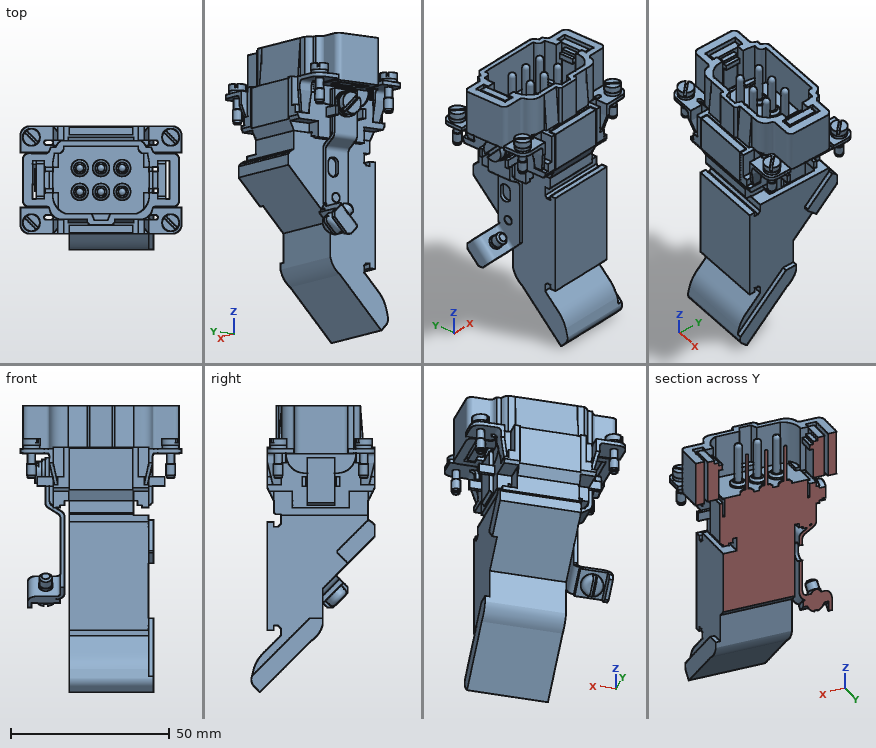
import cadquery as cq
import math

HEIGHT = 90.53
HALF_LENGTH = 25.5
HALF_WIDTH = 17.0
HANDLE_TIP_Y = -22.04

SHELL_DEPTH = 15.2
FLOOR_DEPTH = 14.8
WING_X = 24.7
WING_Y = 8.4
WING_RADIUS = 1.85
WING_ROOT_X = 17.3
CORNER_START_X = 12.5
CORNER_LEDGE_Y = 10.4
SHELL_Y = 12.45
CAVITY_Y = 10.6
CAVITY_X = 15.2
RIB_HALF_X = 10.27
RIB_BASE_Y = 13.6
KEY_OUTER_Y = -14.2
KEY_HALF_X = 4.3
KEY_CHAMFER = 0.8
KEY_GROOVE_MOUTH_X, KEY_GROOVE_FLOOR_X = 3.0, 2.1
KEY_GROOVE_Y = -12.75
KEY_GROOVE_DEPTH = 13.8
PAD_X = 13.5
PAD_HEIGHT = 1.0

SLOT_X_IN, SLOT_X_OUT = 18.0, 21.6
SLOT_HALF_Y = 6.0
MOUTH_HALF_Y = 4.1
LEVER_X_OUT = 20.5
LEVER_HALF_Y = 5.1
LEVER_TOP, LEVER_LEDGE_TOP, LEVER_BOTTOM = -0.5, -1.8, -FLOOR_DEPTH
DETENT_HALF_Y = 2.7
DETENT_TOP = -1.6
DETENT_STEP_X = 16.4
DETENT_STEP_TOP, DETENT_BOTTOM = -2.6, -4.5

PIN_DIAMETER = 2.5
PIN_DOME_RADIUS = 1.2
PIN_TOP = -0.1
PIN_PITCH_X = 6.7
PIN_PITCH_Y = 7.5
COLLAR_DIAMETER = 5.3
COLLAR_TOP_DIAMETER = 3.7
COLLAR_SHOULDER, COLLAR_TOP = 0.6 - FLOOR_DEPTH, 1.4 - FLOOR_DEPTH

HOUSING_TOP = -13.1
HOUSING_X = 15.1
HOUSING_POST_Y = 12.5
HOUSING_FRONT_X = 11.8
HOUSING_STEP_X = 13.7
HOUSING_STEP_TOP = -22.4
HOUSING_BASE_TOP = -25.0
TAPER_TOP = -25.9
HOUSING_BOTTOM = -27.1
CORE_X = 10.2
PANEL_X = 10.05
CORE_Y = 14.9
TAPER_BOTTOM = -30.1
PANEL_Y = 14.35
PANEL_RECESS = 0.3
END_RECESS_HALF_Y = 11.0
END_RECESS_BOTTOM = -21.3
END_RECESS_RADIUS = 5.8
END_RECESS_DEPTH = 0.5
FOOT_Y = 9.0
FOOT_BOTTOM = -32.2
FOOT_OUTER_X, FOOT_MIDDLE_X = 12.9, 11.5

FLANGE_TOP = -13.66
SHEET = 1.3
FLANGE_INNER_Y = 8.65
FLANGE_RADIUS = 3.0
WALL_X = 16.3
WALL_HALF_Y = 4.3
WALL_BOTTOM = -31.5
WALL_CHAMFER = 0.9
BEND_RADIUS = 1.2
LEG_TOP = -18.1
LEG_TOP_Y, LEG_BOTTOM_Y = 16.9, 15.2
LEG_END_X_IN, LEG_END_X_OUT = 13.6, 14.7
RELIEF_WIDTH = 1.4
RELIEF_END_X = 17.95
RELIEF_Y = 11.8
PRONG_X = 20.15
PRONG_Y_IN, PRONG_Y_OUT = 4.75, 5.9
PRONG_TOP, PRONG_BOTTOM = -22.4, -25.4

SCREW_X, SCREW_Y = 22.0, 13.5
HEAD_DIAMETER = 5.5
WASHER_DIAMETER = 5.3
HEAD_TOP, HEAD_BOTTOM = -10.44, -12.5
SHANK_DIAMETER = 2.5
THREAD_DIAMETER = 3.0
THREAD_TOP, THREAD_BOTTOM, SCREW_TIP = -18.3, -21.96, -23.0
TIP_CHAMFER = 0.35
THREAD_CHAMFER = 0.2
SLOT_WIDTH, SLOT_DEPTH = 0.8, 1.2

STRAP_HALF_Y = 4.45
STRAP_TOP = -16.4
STRAP_UPPER_X, STRAP_LOWER_X = -17.6, -12.8
JOG_TOP, JOG_BOTTOM = -31.7, -34.7
JOG_RADIUS = 1.9
STRAP_SCREW_Z = -21.06
STRAP_SCREW_DIAMETER = 7.0
STRAP_WASHER_DIAMETER = 8.17
STRAP_WASHER_THICKNESS = 1.1
STRAP_SCREW_HEAD = 2.2
WINDOW_Y, WINDOW_Z = 1.42, -40.7
WINDOW_WIDTH, WINDOW_LENGTH = 4.0, 6.3
MARK_Y, MARK_Z = 0.33, -50.4
MARK_DIAMETER, MARK_DEPTH = 3.0, 0.1
CLAMP_X, CLAMP_Y, CLAMP_Z = -17.45, 1.73, -57.04
CLAMP_WIDTH = 9.1
CLAMP_END_X = -23.2
CLAMP_BEND = 2.6
LIP_DROP = 6.2
LIP_CHAMFER = 1.2
BACKING_X_OUT, BACKING_X_IN = -21.9, -12.9
BACKING_THICKNESS = 1.7
CLAMP_SCREW_DIAMETER = 4.0
CLAMP_SCREW_LENGTH = 4.5
CLAMP_COLLAR_DIAMETER, CLAMP_COLLAR_HEIGHT = 4.35, 1.0
CLAMP_SCREW_CHAMFER = 0.7
CLAMP_HEAD_DIAMETER = 7.0
CLAMP_HEAD_HEIGHT = 3.3
CLAMP_SLOT_WIDTH, CLAMP_SLOT_DEPTH = 1.2, 1.8
CLAMP_HEAD_ROUND = 1.5

HANDLE_X_MIN, HANDLE_X_MAX = -10.1, 15.07
HANDLE_RIB_X = 16.6
NECK_X_MAX = 10.3
HANDLE_TOP = -34.6
HOOK_Y, HOOK_FLOOR_Y = -14.9, -12.7
HOOK_CHAMFER = 0.9
NECK_CHAMFER = 0.5
UPPER_HOOK_TOP, UPPER_HOOK_LIP, UPPER_HOOK_BOTTOM = -34.3, -36.7, -38.2
LOWER_HOOK_TOP, LOWER_HOOK_LIP, LOWER_HOOK_BOTTOM = -69.5, -71.0, -72.6
BACK_Y = 0.62
BACK_SLOPE_TOP = -41.35
GRIP_TOP = -85.6
GRIP_END_Y = -19.35
KNEE_DROP = 5.2
UNDERSIDE_START_Z = -69.1
UNDERSIDE_END_Y = -3.2
BACK_SHOULDER_TOP, BACK_SHOULDER_BOTTOM = -36.0, -37.8
SIDE_RIB_TOP = -35.8
GRIP_RIB_TOP = -67.1


def box(x0, x1, y0, y1, z0, z1):
    """Axis-aligned block between opposite corners."""
    return cq.Workplane("XY").box(x1 - x0, y1 - y0, z1 - z0, centered=False).translate((x0, y0, z0))


def cylinder(diameter, z0, z1):
    return cq.Workplane("XY").workplane(offset=z0).circle(diameter / 2).extrude(z1 - z0)


def extrude_x(points, x0, x1):
    """Prism of a (Y, Z) outline between two X planes."""
    return cq.Workplane("YZ").workplane(offset=x0).polyline(points).close().extrude(x1 - x0)


def extrude_y(points, y0, y1):
    """Prism of an (X, Z) outline between two Y planes."""
    return cq.Workplane("XZ").workplane(offset=-y1).polyline(points).close().extrude(y1 - y0)


def both_ends(solid):
    return solid.union(solid.mirror("YZ"))


def four_corners(solid):
    pair = both_ends(solid)
    return pair.union(pair.mirror("XZ"))


def shell_outline():
    """Right half of the shell's outer outline, closed along X = 0."""
    return (
        cq.Workplane("XY")
        .moveTo(0, -SHELL_Y)
        .lineTo(CORNER_START_X, -SHELL_Y)
        .threePointArc((15.15, -11.35), (16.2, -9.3))
        .threePointArc((16.6, -8.65), (WING_ROOT_X, -WING_Y))
        .lineTo(WING_X, -WING_Y)
        .lineTo(WING_X, WING_Y)
        .lineTo(WING_ROOT_X, WING_Y)
        .threePointArc((16.7, 8.7), (16.3, 9.25))
        .lineTo(15.8, CORNER_LEDGE_Y)
        .lineTo(14.3, CORNER_LEDGE_Y)
        .lineTo(13.9, 11.05)
        .threePointArc((13.3, 11.9), (CORNER_START_X, SHELL_Y))
        .lineTo(0, SHELL_Y)
        .close()
    )


def cavity_outline():
    """Right half of the contact cavity: round lower corner, stepped upper corner."""
    return (
        cq.Workplane("XY")
        .moveTo(0, -CAVITY_Y)
        .lineTo(11.3, -CAVITY_Y)
        .threePointArc((13.7, -8.95), (CAVITY_X, -MOUTH_HALF_Y))
        .lineTo(CAVITY_X, 5.7)
        .lineTo(14.7, WING_Y)
        .lineTo(13.2, WING_Y)
        .threePointArc((12.2, 9.0), (11.8, CAVITY_Y))
        .lineTo(0, CAVITY_Y)
        .close()
    )


def cavity():
    return both_ends(cavity_outline().extrude(-FLOOR_DEPTH))


def latch_lever():
    body = box(SLOT_X_IN, LEVER_X_OUT, -LEVER_HALF_Y, LEVER_HALF_Y, LEVER_BOTTOM, LEVER_TOP)
    ledge = box(SLOT_X_IN, LEVER_X_OUT, -SLOT_HALF_Y, SLOT_HALF_Y, LEVER_BOTTOM, LEVER_LEDGE_TOP)
    detent = box(DETENT_STEP_X, SLOT_X_IN, -DETENT_HALF_Y, DETENT_HALF_Y, LEVER_BOTTOM, DETENT_TOP)
    toe = box(CAVITY_X, DETENT_STEP_X, -DETENT_HALF_Y, DETENT_HALF_Y, DETENT_BOTTOM, DETENT_STEP_TOP)
    return body.union(ledge).union(detent).union(toe)


def contact_shell():
    half = shell_outline().extrude(-SHELL_DEPTH)
    half = half.edges("|Z and >X").fillet(WING_RADIUS)
    rib = extrude_x(
        [(0, 0), (SHELL_Y, 0), (RIB_BASE_Y, -SHELL_DEPTH), (0, -SHELL_DEPTH)], 0, RIB_HALF_X
    )
    half = half.union(rib).union(rib.mirror("XZ"))
    shell = both_ends(half)
    key_shoulder_y = KEY_OUTER_Y + KEY_CHAMFER
    key_tip_x = KEY_HALF_X - KEY_CHAMFER
    key = (
        cq.Workplane("XY")
        .polyline([(-KEY_HALF_X, -CAVITY_Y), (-KEY_HALF_X, key_shoulder_y), (-key_tip_x, KEY_OUTER_Y),
                   (key_tip_x, KEY_OUTER_Y), (KEY_HALF_X, key_shoulder_y), (KEY_HALF_X, -CAVITY_Y)])
        .close()
        .extrude(-SHELL_DEPTH)
    )
    key_groove = (
        cq.Workplane("XY")
        .polyline([(-KEY_GROOVE_MOUTH_X, -CAVITY_Y), (-KEY_GROOVE_FLOOR_X, KEY_GROOVE_Y),
                   (KEY_GROOVE_FLOOR_X, KEY_GROOVE_Y), (KEY_GROOVE_MOUTH_X, -CAVITY_Y)])
        .close()
        .extrude(-KEY_GROOVE_DEPTH)
    )
    slot = box(SLOT_X_IN, SLOT_X_OUT, -SLOT_HALF_Y, SLOT_HALF_Y, -SHELL_DEPTH, 0)
    mouth = box(CAVITY_X, SLOT_X_IN, -MOUTH_HALF_Y, MOUTH_HALF_Y, -SHELL_DEPTH, 0)
    shell = shell.union(key).cut(cavity()).cut(key_groove).cut(both_ends(slot.union(mouth)))
    return shell.union(both_ends(latch_lever()))


def corner_pads():
    """Raised steps at the four corners of the cavity floor."""
    pad = box(PAD_X, CAVITY_X, MOUTH_HALF_Y, CAVITY_Y, -FLOOR_DEPTH, PAD_HEIGHT - FLOOR_DEPTH)
    return four_corners(pad).intersect(cavity())


def contact():
    pin = cylinder(PIN_DIAMETER, -FLOOR_DEPTH, PIN_TOP).faces(">Z").edges().fillet(PIN_DOME_RADIUS)
    collar = cylinder(COLLAR_DIAMETER, -FLOOR_DEPTH, COLLAR_SHOULDER)
    cone = (
        cq.Workplane("XY")
        .workplane(offset=COLLAR_SHOULDER)
        .circle(COLLAR_DIAMETER / 2)
        .workplane(offset=COLLAR_TOP - COLLAR_SHOULDER)
        .circle(COLLAR_TOP_DIAMETER / 2)
        .loft()
    )
    return pin.union(collar).union(cone)


def contacts():
    group = cq.Workplane("XY")
    for column in (-1, 0, 1):
        for row in (-0.5, 0.5):
            group = group.union(contact().translate((column * PIN_PITCH_X, row * PIN_PITCH_Y, 0)))
    return group


def tapered_profile(bottom):
    """Housing cross-section whose sides draw in from the full width to the core width."""
    share = (TAPER_TOP - bottom) / (TAPER_TOP - TAPER_BOTTOM)
    bottom_y = HALF_WIDTH - share * (HALF_WIDTH - CORE_Y)
    return [(-bottom_y, bottom), (bottom_y, bottom), (HALF_WIDTH, TAPER_TOP),
            (HALF_WIDTH, HOUSING_TOP), (-HALF_WIDTH, HOUSING_TOP), (-HALF_WIDTH, TAPER_TOP)]


def housing():
    centre = extrude_x(tapered_profile(HOUSING_BOTTOM), -HOUSING_X, HOUSING_X)
    post_gap = box(HOUSING_FRONT_X, HOUSING_X, HOUSING_POST_Y, HALF_WIDTH, HOUSING_STEP_TOP, HOUSING_TOP)
    step_gap = box(HOUSING_STEP_X, HOUSING_X, HOUSING_POST_Y, HALF_WIDTH, HOUSING_BASE_TOP, HOUSING_STEP_TOP)
    centre = centre.cut(four_corners(post_gap.union(step_gap)))
    core = extrude_x(tapered_profile(TAPER_BOTTOM), -CORE_X, CORE_X)
    panel_top = box(-PANEL_X, PANEL_X, PANEL_Y, HALF_WIDTH, HOUSING_TOP - PANEL_RECESS, HOUSING_TOP)
    panel_face = box(-PANEL_X, PANEL_X, HALF_WIDTH - PANEL_RECESS, HALF_WIDTH, TAPER_BOTTOM, HOUSING_TOP)
    recess = panel_top.union(panel_face)
    body = centre.union(core).cut(recess.union(recess.mirror("XZ")))
    return body.cut(both_ends(end_recess())).cut(cavity())


def housing_feet():
    """Stepped feet below both ends of the housing."""
    outer = box(FOOT_OUTER_X, HOUSING_X, -FOOT_Y, FOOT_Y, FOOT_BOTTOM, HOUSING_BOTTOM)
    middle = box(FOOT_MIDDLE_X, FOOT_OUTER_X, -FOOT_Y, FOOT_Y, WALL_BOTTOM, HOUSING_BOTTOM)
    inner = box(CORE_X, FOOT_MIDDLE_X, -FOOT_Y, FOOT_Y, TAPER_BOTTOM, HOUSING_BOTTOM)
    return both_ends(outer.union(middle).union(inner))


def bracket_wall():
    """Sheet tab down the middle of the housing's end face."""
    wall = box(HOUSING_X, WALL_X, -WALL_HALF_Y, WALL_HALF_Y, WALL_BOTTOM, STRAP_TOP)
    return wall.edges("|Y and >X and <Z").chamfer(WALL_CHAMFER)


def end_recess():
    """Shallow round-cornered recess in the upper part of the housing's end face."""
    recess = box(
        HOUSING_X - END_RECESS_DEPTH, HOUSING_X, -END_RECESS_HALF_Y, END_RECESS_HALF_Y,
        END_RECESS_BOTTOM, HOUSING_TOP,
    )
    return recess.edges("|X and <Z").fillet(END_RECESS_RADIUS)


def flange_corner():
    """One flange tab with its bend and the tapered leg that leans into the housing."""
    underside = FLANGE_TOP - SHEET
    profile = [(HALF_LENGTH, FLANGE_TOP), (HOUSING_X, FLANGE_TOP), (HOUSING_X, LEG_TOP),
               (WALL_X, LEG_TOP), (WALL_X, underside), (HALF_LENGTH, underside)]
    tab = extrude_y(profile, FLANGE_INNER_Y, HALF_WIDTH)
    tab = tab.edges(cq.NearestToPointSelector((WALL_X, HOUSING_POST_Y, underside))).fillet(BEND_RADIUS)
    tab = tab.edges("|Z and >X and >Y").fillet(FLANGE_RADIUS)
    tab = tab.cut(
        box(HOUSING_X, WALL_X + BEND_RADIUS, FLANGE_INNER_Y, END_RECESS_HALF_Y, LEG_TOP, underside)
    )
    relief = (
        cq.Workplane("XY")
        .workplane(offset=FLANGE_TOP)
        .center(HOUSING_X + (RELIEF_END_X - HOUSING_X) / 2, RELIEF_Y)
        .slot2D(RELIEF_END_X - HOUSING_X, RELIEF_WIDTH)
        .extrude(LEG_TOP - FLANGE_TOP)
    )
    leg = extrude_y(
        [(HOUSING_X, LEG_TOP), (WALL_X, LEG_TOP), (LEG_END_X_OUT, HOUSING_BASE_TOP),
         (LEG_END_X_IN, HOUSING_BASE_TOP)],
        HOUSING_POST_Y, HALF_WIDTH,
    )
    taper = extrude_x(
        [(HOUSING_POST_Y, LEG_TOP), (LEG_TOP_Y, LEG_TOP),
         (LEG_BOTTOM_Y, HOUSING_BASE_TOP), (HOUSING_POST_Y, HOUSING_BASE_TOP)],
        HOUSING_FRONT_X, WALL_X,
    )
    return tab.cut(relief).union(leg.intersect(taper))


def prong():
    return box(HOUSING_X, PRONG_X, PRONG_Y_IN, PRONG_Y_OUT, PRONG_BOTTOM, PRONG_TOP)


def mounting_screw():
    head = cylinder(HEAD_DIAMETER, HEAD_BOTTOM, HEAD_TOP)
    half_slot = SLOT_WIDTH / 2
    slot = box(-HEAD_DIAMETER, HEAD_DIAMETER, -half_slot, half_slot, HEAD_TOP - SLOT_DEPTH, HEAD_TOP)
    head = head.cut(slot.rotate((0, 0, 0), (0, 0, 1), -45))
    washer = cylinder(WASHER_DIAMETER, FLANGE_TOP, HEAD_BOTTOM)
    shank = cylinder(SHANK_DIAMETER, SCREW_TIP, FLANGE_TOP).faces("<Z").chamfer(TIP_CHAMFER)
    thread = cylinder(THREAD_DIAMETER, THREAD_BOTTOM, THREAD_TOP).faces(">Z").chamfer(THREAD_CHAMFER)
    return head.union(washer).union(shank).union(thread)


def mounting_screws():
    group = cq.Workplane("XY")
    for x in (-SCREW_X, SCREW_X):
        for y in (-SCREW_Y, SCREW_Y):
            group = group.union(mounting_screw().translate((x, y, 0)))
    return group


def earth_strap():
    """Sheet strap with a jog towards the handle and a slanted lower end."""
    jog_slope = math.atan2(JOG_TOP - JOG_BOTTOM, STRAP_LOWER_X - STRAP_UPPER_X)
    mitre = SHEET * math.tan((math.pi / 2 - jog_slope) / 2)
    lower_end = CLAMP_Z - CLAMP_WIDTH / 2
    profile = [
        (STRAP_UPPER_X, STRAP_TOP), (STRAP_UPPER_X, JOG_TOP), (STRAP_LOWER_X, JOG_BOTTOM),
        (STRAP_LOWER_X, lower_end), (STRAP_LOWER_X + SHEET, lower_end),
        (STRAP_LOWER_X + SHEET, JOG_BOTTOM + mitre), (STRAP_UPPER_X + SHEET, JOG_TOP + mitre),
        (STRAP_UPPER_X + SHEET, STRAP_TOP),
    ]
    strap = extrude_y(profile, -STRAP_HALF_Y, STRAP_HALF_Y)
    jog_corners = cq.selectors.BoxSelector(
        (STRAP_UPPER_X - 1, -1, JOG_BOTTOM - 1), (STRAP_LOWER_X + 2, 1, JOG_TOP + 2)
    )
    strap = strap.edges("|Y").edges(jog_corners).fillet(JOG_RADIUS)
    window = (
        cq.Workplane("YZ")
        .workplane(offset=STRAP_LOWER_X)
        .center(WINDOW_Y, WINDOW_Z)
        .slot2D(WINDOW_LENGTH, WINDOW_WIDTH, 90)
        .extrude(SHEET)
    )
    mark = (
        cq.Workplane("YZ")
        .workplane(offset=STRAP_LOWER_X)
        .center(MARK_Y, MARK_Z)
        .circle(MARK_DIAMETER / 2)
        .extrude(MARK_DEPTH)
    )
    below_fold = clamp_plane().workplane(offset=CLAMP_BEND - SHEET).rect(HEIGHT, HEIGHT).extrude(-HEIGHT)
    past_edge = (
        clamp_plane()
        .center(0, -(CLAMP_WIDTH + HEIGHT) / 2)
        .rect(HEIGHT, HEIGHT)
        .extrude(HEIGHT, both=True)
    )
    return strap.cut(window).cut(mark).cut(below_fold).cut(past_edge)


def clamp_plane():
    """Workplane on the clamp plate: normal tilted 45 degrees towards -Y, local x along X."""
    return cq.Workplane(cq.Plane((CLAMP_X, CLAMP_Y, CLAMP_Z), xDir=(1, 0, 0), normal=(0, -1, 1)))


def strap_screw():
    axis = cq.Workplane("YZ").workplane(offset=STRAP_UPPER_X).center(0, STRAP_SCREW_Z)
    washer = axis.circle(STRAP_WASHER_DIAMETER / 2).extrude(-STRAP_WASHER_THICKNESS)
    head_end = STRAP_WASHER_THICKNESS + STRAP_SCREW_HEAD
    head = axis.circle(STRAP_SCREW_DIAMETER / 2).extrude(-head_end)
    slot = (
        axis.workplane(offset=-head_end)
        .transformed(rotate=(0, 0, 135))
        .rect(2 * STRAP_SCREW_DIAMETER, SLOT_DEPTH)
        .extrude(SLOT_DEPTH)
    )
    return washer.union(head).cut(slot)


def bend_point(centre_x, centre_y, radius, angle):
    """Point of a bend arc at an angle in degrees."""
    turn = math.radians(angle)
    return centre_x + radius * math.cos(turn), centre_y + radius * math.sin(turn)


def clamp_plate():
    """Channel-shaped strip: folded off the strap, flat, then turned down to a lip."""
    inner = CLAMP_BEND - SHEET
    lip_out = CLAMP_END_X - CLAMP_X
    lip_in = lip_out + SHEET
    root_in = STRAP_LOWER_X - CLAMP_X
    root_out = root_in + SHEET
    lip_bend = (lip_out + CLAMP_BEND, -CLAMP_BEND)
    root_bend = (root_in - inner, inner)
    section = cq.Workplane(
        cq.Plane((CLAMP_X, CLAMP_Y, CLAMP_Z), xDir=(1, 0, 0), normal=(0, -1, -1))
    )
    strip = (
        section.moveTo(lip_out, -LIP_DROP)
        .lineTo(lip_out, lip_bend[1])
        .threePointArc(bend_point(*lip_bend, CLAMP_BEND, 135), (lip_bend[0], 0))
        .lineTo(root_bend[0], 0)
        .threePointArc(bend_point(*root_bend, inner, -45), (root_in, inner))
        .lineTo(root_out, inner)
        .threePointArc(bend_point(*root_bend, CLAMP_BEND, -45), (root_bend[0], -SHEET))
        .lineTo(lip_bend[0], -SHEET)
        .threePointArc(bend_point(*lip_bend, inner, 135), (lip_in, lip_bend[1]))
        .lineTo(lip_in, -LIP_DROP)
        .close()
        .extrude(CLAMP_WIDTH / 2, both=True)
    )
    half = CLAMP_WIDTH / 2
    outline = cq.Workplane(
        cq.Plane((CLAMP_END_X, CLAMP_Y, CLAMP_Z), xDir=(0, 1, 1), normal=(1, 0, 0))
    )
    trimmed = (
        outline.polyline([(-half, CLAMP_BEND), (half, CLAMP_BEND), (half, LIP_CHAMFER - LIP_DROP),
                          (half - LIP_CHAMFER, -LIP_DROP), (LIP_CHAMFER - half, -LIP_DROP),
                          (-half, LIP_CHAMFER - LIP_DROP)])
        .close()
        .extrude(root_out - lip_out)
    )
    return strip.intersect(trimmed)


def cable_clamp():
    """Folded clamp plate with its backing plate and domed, slotted screw."""
    backing = (
        clamp_plane()
        .workplane(offset=-SHEET)
        .center((BACKING_X_OUT + BACKING_X_IN) / 2 - CLAMP_X, 0)
        .rect(BACKING_X_IN - BACKING_X_OUT, CLAMP_WIDTH)
        .extrude(-BACKING_THICKNESS)
    )
    underside = SHEET + BACKING_THICKNESS
    shank = clamp_plane().circle(CLAMP_SCREW_DIAMETER / 2).extrude(CLAMP_SCREW_LENGTH)
    collar = clamp_plane().circle(CLAMP_COLLAR_DIAMETER / 2).extrude(CLAMP_COLLAR_HEIGHT)
    shank_tip = cq.NearestToPointSelector(clamp_plane().workplane(offset=CLAMP_SCREW_LENGTH).val().toTuple())
    shank = shank.faces(shank_tip).chamfer(CLAMP_SCREW_CHAMFER)
    head = clamp_plane().workplane(offset=-underside).circle(CLAMP_HEAD_DIAMETER / 2)
    head = head.extrude(-CLAMP_HEAD_HEIGHT)
    head_end = clamp_plane().workplane(offset=-underside - CLAMP_HEAD_HEIGHT)
    head = head.faces(cq.NearestToPointSelector(head_end.val().toTuple())).edges().fillet(CLAMP_HEAD_ROUND)
    slot = head_end.rect(CLAMP_SLOT_WIDTH, CLAMP_HEAD_DIAMETER).extrude(CLAMP_SLOT_DEPTH)
    return clamp_plate().union(backing).union(shank).union(collar).union(head.cut(slot))


def handle_outline():
    """(Y, Z) side outline of the handle: two hooks at the front, a slanted grip below."""
    slope_run = HALF_WIDTH - BACK_Y
    knee_y = HOOK_FLOOR_Y - KNEE_DROP
    knee_z = LOWER_HOOK_BOTTOM - KNEE_DROP
    underside_end_z = UNDERSIDE_END_Y - GRIP_END_Y - HEIGHT
    return (
        cq.Workplane("YZ")
        .moveTo(HOOK_Y, HOUSING_BOTTOM)
        .lineTo(HOOK_Y, UPPER_HOOK_TOP + NECK_CHAMFER)
        .lineTo(HOOK_Y + NECK_CHAMFER, UPPER_HOOK_TOP)
        .lineTo(HOOK_FLOOR_Y, UPPER_HOOK_TOP)
        .lineTo(HOOK_FLOOR_Y, UPPER_HOOK_BOTTOM + HOOK_CHAMFER)
        .lineTo(HOOK_FLOOR_Y - HOOK_CHAMFER, UPPER_HOOK_BOTTOM)
        .lineTo(HOOK_Y, UPPER_HOOK_BOTTOM)
        .lineTo(HOOK_Y, UPPER_HOOK_LIP)
        .lineTo(-HALF_WIDTH, UPPER_HOOK_LIP)
        .lineTo(-HALF_WIDTH, LOWER_HOOK_LIP)
        .lineTo(HOOK_Y, LOWER_HOOK_LIP)
        .lineTo(HOOK_Y, LOWER_HOOK_TOP)
        .lineTo(HOOK_FLOOR_Y - HOOK_CHAMFER, LOWER_HOOK_TOP)
        .lineTo(HOOK_FLOOR_Y, LOWER_HOOK_TOP - HOOK_CHAMFER)
        .lineTo(HOOK_FLOOR_Y, LOWER_HOOK_BOTTOM)
        .lineTo(knee_y, knee_z)
        .threePointArc((-20.1, -80.5), (-21.3, -83.2))
        .lineTo(HANDLE_TIP_Y, -86.2)
        .threePointArc((-21.87, -87.5), (-21.1, -88.7))
        .lineTo(GRIP_END_Y, -HEIGHT)
        .lineTo(UNDERSIDE_END_Y, underside_end_z)
        .threePointArc((-0.5, -71.7), (BACK_Y, UNDERSIDE_START_Z))
        .lineTo(BACK_Y, BACK_SLOPE_TOP - slope_run)
        .lineTo(HALF_WIDTH, BACK_SLOPE_TOP)
        .lineTo(HALF_WIDTH, BACK_SHOULDER_BOTTOM)
        .lineTo(16.4, -37.0)
        .lineTo(CORE_Y, BACK_SHOULDER_TOP)
        .lineTo(CORE_Y, HOUSING_BOTTOM)
        .close()
    )


def handle():
    full = handle_outline().extrude(HANDLE_RIB_X).union(handle_outline().extrude(HANDLE_X_MIN))
    neck = full.intersect(box(HANDLE_X_MIN, NECK_X_MAX, -HEIGHT, HEIGHT, HANDLE_TOP, 0))
    body = full.intersect(box(HANDLE_X_MIN, HANDLE_X_MAX, -HEIGHT, HEIGHT, -HEIGHT, HANDLE_TOP))
    grip = full.intersect(box(HANDLE_X_MIN, HANDLE_RIB_X, -HEIGHT, HEIGHT, -HEIGHT, GRIP_TOP))
    back_rib = extrude_x(
        [(15.2, SIDE_RIB_TOP), (5.2, -45.8), (5.2, -46.5), (8.55, -49.8), (HALF_WIDTH, BACK_SLOPE_TOP),
         (HALF_WIDTH, SIDE_RIB_TOP)],
        0, HANDLE_RIB_X,
    )
    rib_start_y = HANDLE_TIP_Y + (GRIP_RIB_TOP - GRIP_TOP)
    grip_rib = extrude_x(
        [(BACK_Y, GRIP_RIB_TOP), (rib_start_y, GRIP_RIB_TOP), (HANDLE_TIP_Y, GRIP_TOP),
         (HANDLE_TIP_Y, -HEIGHT), (BACK_Y, -HEIGHT)],
        0, HANDLE_RIB_X,
    )
    ribs = full.intersect(back_rib.union(grip_rib))
    return neck.union(body).union(grip).union(ribs)


bracket = both_ends(bracket_wall()).union(four_corners(flange_corner())).union(four_corners(prong()))

result = (
    contact_shell()
    .union(corner_pads())
    .union(contacts())
    .union(housing())
    .union(housing_feet())
    .union(bracket)
    .union(mounting_screws())
    .union(handle())
    .union(earth_strap())
    .union(strap_screw())
    .union(cable_clamp())
)